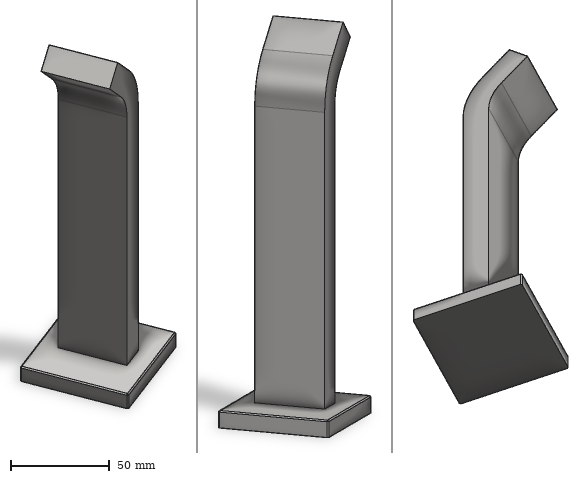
import cadquery as cq
import math

total_height = 204.8

plate_side = 60.0
plate_thickness = 9.0
plate_edge_chamfer = 0.72

bar_width = 38.0
bar_thickness = 14.1
inner_bend_radius = 24.2
bend_angle = math.radians(45)
tip_length = 20.3

outer_bend_radius = inner_bend_radius + bar_thickness
back_y = bar_thickness / 2
front_y = -bar_thickness / 2
bend_center_y = front_y - inner_bend_radius
bend_start_z = (
    total_height
    - tip_length * math.cos(bend_angle)
    - outer_bend_radius * math.sin(bend_angle)
)


def bend_point(radius, angle):
    """Point (y, z) on the bend, at an angle measured from its lower end."""
    return (
        bend_center_y + radius * math.cos(angle),
        bend_start_z + radius * math.sin(angle),
    )


def tip_point(radius):
    """Point (y, z) at the free end of the bar, on the side of the given bend radius."""
    y, z = bend_point(radius, bend_angle)
    return (
        y - tip_length * math.sin(bend_angle),
        z + tip_length * math.cos(bend_angle),
    )


def make_plate():
    """Foot plate with chamfered upright and top edges."""
    plate = cq.Workplane("XY").box(
        plate_side, plate_side, plate_thickness, centered=(True, True, False)
    )
    return plate.edges("|Z or >Z").chamfer(plate_edge_chamfer)


def make_bar():
    """Bent bar: its side outline extruded across the width."""
    return (
        cq.Workplane("YZ")
        .moveTo(front_y, plate_thickness)
        .lineTo(back_y, plate_thickness)
        .lineTo(back_y, bend_start_z)
        .threePointArc(
            bend_point(outer_bend_radius, bend_angle / 2),
            bend_point(outer_bend_radius, bend_angle),
        )
        .lineTo(*tip_point(outer_bend_radius))
        .lineTo(*tip_point(inner_bend_radius))
        .lineTo(*bend_point(inner_bend_radius, bend_angle))
        .threePointArc(
            bend_point(inner_bend_radius, bend_angle / 2),
            (front_y, bend_start_z),
        )
        .close()
        .extrude(bar_width / 2, both=True)
    )


plate = make_plate()
bar = make_bar()

result = cq.Compound.makeCompound([plate.val(), bar.val()])